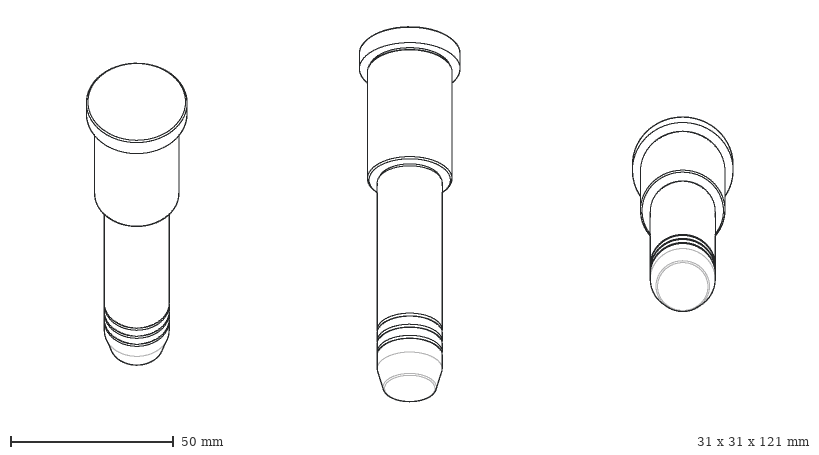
import cadquery as cq
import math

total_length = 121.0

head_diameter = 31.0
head_thickness = 6.0

shank_diameter = 26.0
shank_end_depth = 46.0

pin_diameter = 20.0

edge_chamfer = 0.5
tip_fillet = 0.5

relief_width = 1.0
relief_depth = 0.5

groove_radius = 0.5
groove_first_depth = 100.0
groove_pitch = 4.0
groove_count = 3

taper_length = 7.0
taper_angle = 15.0

head_bottom_z = total_length - head_thickness
shank_bottom_z = total_length - shank_end_depth
shank_radius = shank_diameter / 2
pin_radius = pin_diameter / 2
tip_radius = pin_radius - taper_length * math.tan(math.radians(taper_angle))


def start_outline(radius, z):
    """Begin a half-section outline in the XZ plane, where local x is the radius and local y is Z."""
    return cq.Workplane("XZ").moveTo(radius, z)


def revolve_outline(outline):
    """Close a half-section outline and turn it about the Z axis."""
    return outline.close().revolve(360, (0, 0, 0), (0, 1, 0))


def cylinder(diameter, bottom_z, top_z):
    return cq.Workplane("XY").workplane(offset=bottom_z).circle(diameter / 2).extrude(top_z - bottom_z)


def shank_relief():
    """Ring under the head: a straight floor that curves out to the shank along a quarter round."""
    floor_radius = shank_radius - relief_depth
    round_radius = relief_depth
    round_start_z = head_bottom_z - relief_width + round_radius
    midpoint_offset = round_radius * math.sqrt(0.5)
    outline = (
        start_outline(shank_radius, head_bottom_z)
        .lineTo(floor_radius, head_bottom_z)
        .lineTo(floor_radius, round_start_z)
        .threePointArc(
            (shank_radius - midpoint_offset, round_start_z - midpoint_offset),
            (shank_radius, round_start_z - round_radius),
        )
    )
    return revolve_outline(outline)


def pin_relief():
    """Square ring under the shank's end."""
    floor_radius = pin_radius - relief_depth
    relief_bottom_z = shank_bottom_z - relief_width
    outline = (
        start_outline(pin_radius, shank_bottom_z)
        .lineTo(floor_radius, shank_bottom_z)
        .lineTo(floor_radius, relief_bottom_z)
        .lineTo(pin_radius, relief_bottom_z)
    )
    return revolve_outline(outline)


def pin_groove(center_z):
    """Ring with a half-round section, centred on the pin's surface."""
    outline = start_outline(pin_radius, center_z + groove_radius).threePointArc(
        (pin_radius - groove_radius, center_z),
        (pin_radius, center_z - groove_radius),
    )
    return revolve_outline(outline)


def make_head():
    return cylinder(head_diameter, head_bottom_z, total_length).faces(">Z").edges().chamfer(edge_chamfer)


def make_shank():
    shank = cylinder(shank_diameter, shank_bottom_z, head_bottom_z)
    shank = shank.faces("<Z").edges().chamfer(edge_chamfer)
    return shank.cut(shank_relief())


def make_pin():
    outline = (
        start_outline(0, 0)
        .lineTo(tip_radius, 0)
        .lineTo(pin_radius, taper_length)
        .lineTo(pin_radius, shank_bottom_z)
        .lineTo(0, shank_bottom_z)
    )
    pin = revolve_outline(outline).faces("<Z").edges().fillet(tip_fillet)
    pin = pin.cut(pin_relief())
    first_groove_z = total_length - groove_first_depth - groove_radius
    for index in range(groove_count):
        pin = pin.cut(pin_groove(first_groove_z - index * groove_pitch))
    return pin


result = make_head().union(make_shank()).union(make_pin())